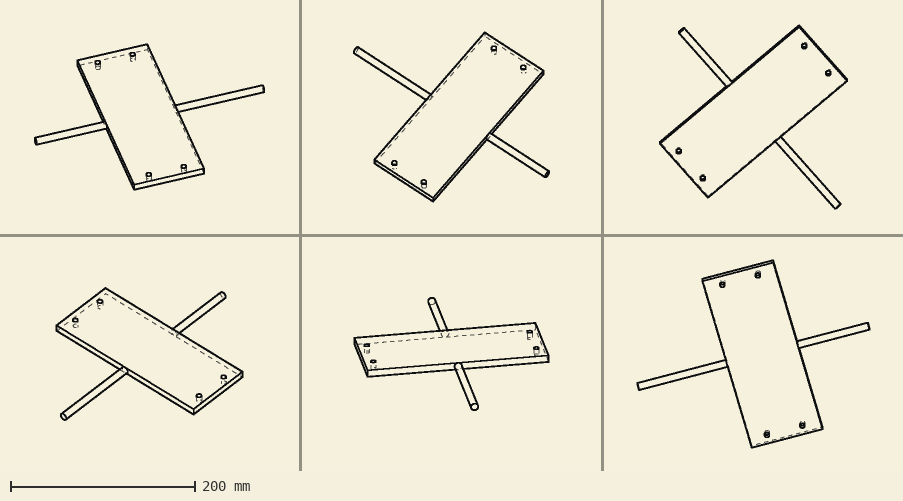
import cadquery as cq

total_length = 260.0
plate_width = 200.0
thickness = 8.0

rear_rod_length = 100.0
plate_depth = (total_length - rear_rod_length) / 2
front_rod_length = plate_depth

hole_diameter = 5.5
hole_end_margin = 10.0
hole_spacing_x = plate_width - 2 * hole_end_margin
hole_spacing_y = plate_depth / 2


def make_plate():
    """Flat plate centred on the origin, with four through holes."""
    return (
        cq.Workplane("XY")
        .box(plate_width, plate_depth, thickness)
        .faces(">Z")
        .workplane()
        .rarray(hole_spacing_x, hole_spacing_y, 2, 2)
        .hole(hole_diameter)
    )


def make_rod(length, direction):
    """Round rod growing from a long edge face: +1 toward +Y, -1 toward -Y."""
    return (
        cq.Workplane("XZ", origin=(0, direction * plate_depth / 2, 0))
        .circle(thickness / 2)
        .extrude(-direction * length)
    )


front_rod = make_rod(front_rod_length, -1)
rear_rod = make_rod(rear_rod_length, 1)
result = make_plate().union(front_rod).union(rear_rod)